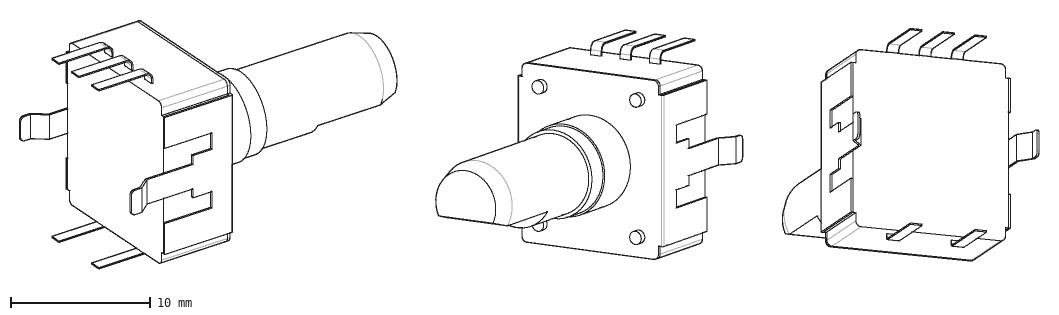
import cadquery as cq
import math


block_width = 11.55
block_height = 13.2
block_back = -6.02
block_corner_radius = 0.4

front_plate_thickness = 0.25
side_plate_thickness = 0.15
side_plate_height = 11.15
cover_width = 12.32
cover_bend_radius = 0.13

slot_outer_height = 6.12
slot_inner_height = 3.45
slot_front = -1.85
slot_step = -3.52

leg_height = 2.0
leg_span = 14.0
leg_jog_start = -7.55
leg_jog_length = 1.05
leg_corner_radius = 0.35

bushing_diameter = 6.8
bushing_end = 3.5
neck_diameter = 6.52
neck_end = 5.0
shaft_diameter = 6.0
shaft_end = 16.95
shaft_flat_start = 9.96
shaft_flat_offset = 1.5
tip_length = 1.5
tip_inset = 0.45
peg_diameter = 0.98
peg_length = 0.48
peg_offset_x = 4.13
peg_offset_z = 5.05

pin_width = 0.9
pin_thickness = 0.1
pin_pitch = 2.5
pin_front = -4.8
overall_length = 26.5
pin_end = shaft_end - overall_length
upper_pin_rise = 0.93
lower_pin_rise = 0.48
upper_pin_bend_radius = 0.55
lower_pin_bend_radius = 0.25

side_plate_inner_x = cover_width / 2 - side_plate_thickness
block_front = -front_plate_thickness
leg_end = pin_end


def box_between(x_range, y_range, z_range):
    """Axis-aligned box spanning three (low, high) ranges."""
    size = [high - low for low, high in (x_range, y_range, z_range)]
    corner = (x_range[0], y_range[0], z_range[0])
    return cq.Workplane("XY").box(*size, centered=False).translate(corner)


def centered_box(width, y_range, height):
    """Box centred on the shaft axis in X and Z."""
    half_width = width / 2
    half_height = height / 2
    return box_between((-half_width, half_width), y_range, (-half_height, half_height))


def cylinder(diameter, start, end, x=0, z=0):
    """Round bar along Y; the XZ plane faces -Y, so a negative extrusion runs toward +Y."""
    return cq.Workplane("XZ", origin=(x, start, z)).circle(diameter / 2).extrude(start - end)


def rounded_slab(y_range):
    """Slice with the rounded outline shared by the block and the front plate."""
    return centered_box(block_width, y_range, block_height).edges("|Y").fillet(block_corner_radius)



def make_pin(x, side, rise, bend_radius):
    """L-shaped strip leaving the top (side = 1) or bottom (side = -1) face of the block."""
    face_z = block_height / 2
    outer_z = face_z + rise
    inner_radius = bend_radius - pin_thickness
    diagonal = math.sqrt(0.5)
    bend_y = pin_front - bend_radius
    bend_z = outer_z - bend_radius
    pin = (
        cq.Workplane("YZ", origin=(x - pin_width / 2, 0, 0))
        .moveTo(pin_front, side * face_z)
        .lineTo(pin_front, side * bend_z)
        .threePointArc(
            (bend_y + bend_radius * diagonal, side * (bend_z + bend_radius * diagonal)),
            (bend_y, side * outer_z),
        )
        .lineTo(pin_end, side * outer_z)
        .lineTo(pin_end, side * (outer_z - pin_thickness))
        .lineTo(bend_y, side * (outer_z - pin_thickness))
        .threePointArc(
            (bend_y + inner_radius * diagonal, side * (bend_z + inner_radius * diagonal)),
            (pin_front - pin_thickness, side * bend_z),
        )
        .lineTo(pin_front - pin_thickness, side * face_z)
        .close()
        .extrude(pin_width)
    )
    return pin


def make_housing():
    """Block, widened between the side plates, with three upper and two lower pins."""
    depth = (block_back, block_front)
    housing = rounded_slab(depth).union(centered_box(2 * side_plate_inner_x, depth, side_plate_height))
    for x in (-pin_pitch, 0, pin_pitch):
        housing = housing.union(make_pin(x, 1, upper_pin_rise, upper_pin_bend_radius))
    for x in (-pin_pitch, pin_pitch):
        housing = housing.union(make_pin(x, -1, lower_pin_rise, lower_pin_bend_radius))
    return housing



def make_bent_sheet():
    """Front plate with a plain side plate folded back along each side of the block."""
    folded = centered_box(cover_width, (block_back, 0), side_plate_height)
    folded = folded.faces(">Y").edges("|Z").fillet(cover_bend_radius)
    inside = centered_box(2 * side_plate_inner_x, (block_back, block_front), side_plate_height)
    return rounded_slab((block_front, 0)).union(folded.cut(inside))


def make_slots():
    """Stepped openings cut through both side plates, on both sides of each leg."""
    slots = centered_box(cover_width, (block_back, slot_front), slot_outer_height)
    tongue = centered_box(cover_width, (slot_step, slot_front), slot_inner_height)
    leg_root = centered_box(cover_width, (block_back, slot_step), leg_height)
    inside = centered_box(2 * side_plate_inner_x, (block_back, slot_front), slot_outer_height)
    return slots.cut(tongue).cut(leg_root).cut(inside)


def make_leg():
    """Leg on the +X side, continuing the side plate and jogging outward."""
    near_x = cover_width / 2
    far_x = leg_span / 2
    jog_end = leg_jog_start - leg_jog_length
    jog_angle = math.atan2(leg_jog_length, far_x - near_x)
    bend_shift = side_plate_thickness * math.tan((math.pi / 2 - jog_angle) / 2)
    outline = [
        (near_x, block_back),
        (near_x, leg_jog_start),
        (far_x, jog_end),
        (far_x, leg_end),
        (far_x - side_plate_thickness, leg_end),
        (far_x - side_plate_thickness, jog_end - bend_shift),
        (near_x - side_plate_thickness, leg_jog_start - bend_shift),
        (near_x - side_plate_thickness, block_back),
    ]
    leg = cq.Workplane("XY", origin=(0, 0, -leg_height / 2)).polyline(outline).close().extrude(leg_height)
    return leg.faces("<Y").edges("|X").fillet(leg_corner_radius)


def make_shaft():
    """D-shaped shaft whose tip tapers evenly on the round side and on the flat."""
    tip_start = shaft_end - tip_length
    radius = shaft_diameter / 2
    half_flat = math.sqrt(radius**2 - shaft_flat_offset**2)
    flat_cut = box_between((-radius, radius), (shaft_flat_start, tip_start), (-radius, -shaft_flat_offset))
    bar = cylinder(shaft_diameter, 0, tip_start).cut(flat_cut)
    taper_angle = math.degrees(math.atan(tip_inset / tip_length))
    tip = (
        cq.Workplane("XZ", origin=(0, tip_start, 0))
        .moveTo(-half_flat, -shaft_flat_offset)
        .threePointArc((0, radius), (half_flat, -shaft_flat_offset))
        .close()
        .extrude(-tip_length, taper=taper_angle)
    )
    return bar.union(tip)


def make_cover():
    """Sheet, legs, pegs, bushing and shaft as one solid."""
    leg = make_leg()
    cover = make_bent_sheet().cut(make_slots()).union(leg).union(leg.mirror("YZ"))
    for x in (-peg_offset_x, peg_offset_x):
        for z in (-peg_offset_z, peg_offset_z):
            cover = cover.union(cylinder(peg_diameter, 0, peg_length, x, z))
    cover = cover.union(cylinder(bushing_diameter, 0, bushing_end))
    cover = cover.union(cylinder(neck_diameter, 0, neck_end))
    return cover.union(make_shaft())


housing = make_housing()
cover = make_cover()

result = cq.Compound.makeCompound([housing.val(), cover.val()])